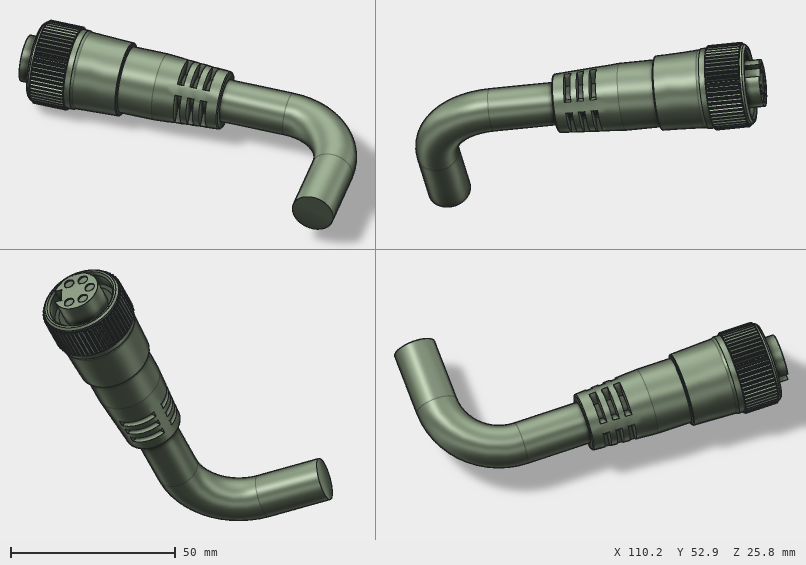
import cadquery as cq
import math

TOTAL_LENGTH = 110.2
TOTAL_WIDTH = 52.9

INSERT_RADIUS = 7.2
SHANK_RADIUS = 8.9
KEYWAY_WIDTH = 4.4
KEYWAY_FLOOR = 4.6
CONTACT_RADIUS = 1.5
CONTACT_CIRCLE_RADIUS = 4.5
CONTACT_ANGLES = (0, 60, 120, 240, 300)
CONTACT_DEPTH = 0.4

NUT_START = 3.7
NUT_END = 32.1
NUT_RADIUS = 12.2
NUT_NOSE_CHAMFER = 0.7
NUT_FACE_RADIUS = NUT_RADIUS - NUT_NOSE_CHAMFER
COLLAR_END = 17.6
TAPER_START = 18.5
TAPER_START_RADIUS = 11.9
TAPER_END_RADIUS = 11.4
NUT_END_CHAMFER = 0.28
MOUTH_RADIUS = 10.9
RECESS_RADIUS = 10.3
MOUTH_LENGTH = MOUTH_RADIUS - RECESS_RADIUS
RECESS_FLOOR = 8.6

KNURL_START = 5.1
KNURL_END = 15.8
KNURL_RADIUS = 12.9
KNURL_ROOT_RADIUS = 12.5
KNURL_END_CHAMFER = 0.3
TOOTH_COUNT = 55
CREST_SHARE = 0.2
ROOT_SHARE = 0.2

MOLD_START = 32.3
MOLD_RADIUS = 10.3
MOLD_TAPER_START = 43.1
MOLD_END = 63.6
MOLD_END_RADIUS = 8.9
MOLD_END_CHAMFER = 0.3
SLOT_START = 49.9
SLOT_WIDTH = 2.0
SLOT_PITCH = 2 * SLOT_WIDTH
SLOT_ROWS = 3
SLOT_SIDES = 4
SLOT_FLOOR_RADIUS = 5.5
RIB_WIDTH = 3.4

CABLE_RADIUS = 6.5
CABLE_DROP = TOTAL_WIDTH - KNURL_RADIUS
BEND_RADIUS = CABLE_DROP / 2
BEND_START = TOTAL_LENGTH - CABLE_RADIUS - BEND_RADIUS


def revolve_about_x(points):
    """Solid of revolution from (x, radius) points."""
    return cq.Workplane("XZ").polyline(points).close().revolve(360, (0, 0, 0), (1, 0, 0))


def cylinder(start, end, radius):
    """Cylinder on the X axis between two x positions."""
    return cq.Workplane("YZ").workplane(offset=start).circle(radius).extrude(end - start)


def knurl_outline():
    """Closed (y, z) outline of the toothed band, one trapezoid per tooth."""
    pitch = 2 * math.pi / TOOTH_COUNT
    corners = (
        (-(1 - ROOT_SHARE) / 2, KNURL_ROOT_RADIUS),
        (-CREST_SHARE / 2, KNURL_RADIUS),
        (CREST_SHARE / 2, KNURL_RADIUS),
        ((1 - ROOT_SHARE) / 2, KNURL_ROOT_RADIUS),
    )
    points = []
    for tooth in range(TOOTH_COUNT):
        for share, radius in corners:
            angle = (tooth + share) * pitch
            points.append((-radius * math.cos(angle), radius * math.sin(angle)))
    return points


def make_nut():
    """Tapered coupling nut with a knurled band, an open mouth and a bore for the shank."""
    outer = revolve_about_x([
        (NUT_START, 0),
        (NUT_START, NUT_FACE_RADIUS),
        (NUT_START + NUT_NOSE_CHAMFER, NUT_RADIUS),
        (COLLAR_END, NUT_RADIUS),
        (TAPER_START, TAPER_START_RADIUS),
        (NUT_END - NUT_END_CHAMFER, TAPER_END_RADIUS),
        (NUT_END, TAPER_END_RADIUS - NUT_END_CHAMFER),
        (NUT_END, 0),
    ])
    knurl = (
        cq.Workplane("YZ")
        .workplane(offset=KNURL_START)
        .polyline(knurl_outline())
        .close()
        .extrude(KNURL_END - KNURL_START)
    )
    band_limit = cylinder(KNURL_START, KNURL_END, KNURL_RADIUS).edges().chamfer(KNURL_END_CHAMFER)
    mouth = revolve_about_x([
        (NUT_START, 0),
        (NUT_START, MOUTH_RADIUS),
        (NUT_START + MOUTH_LENGTH, RECESS_RADIUS),
        (RECESS_FLOOR, RECESS_RADIUS),
        (RECESS_FLOOR, 0),
    ])
    bore = cylinder(NUT_START, NUT_END, SHANK_RADIUS)
    return outer.union(knurl.intersect(band_limit)).cut(mouth).cut(bore)


def make_insert():
    """Insert with keyway and shallow contact recesses, carried by the shank inside the nut."""
    insert = cylinder(0, RECESS_FLOOR, INSERT_RADIUS)
    keyway = cq.Workplane("XY").box(
        RECESS_FLOOR, INSERT_RADIUS, KEYWAY_WIDTH, centered=(False, False, True)
    ).translate((0, KEYWAY_FLOOR, 0))
    insert = insert.cut(keyway)
    for degrees in CONTACT_ANGLES:
        angle = math.radians(degrees)
        y = -CONTACT_CIRCLE_RADIUS * math.cos(angle)
        z = CONTACT_CIRCLE_RADIUS * math.sin(angle)
        recess = cq.Workplane("YZ").center(y, z).circle(CONTACT_RADIUS).extrude(CONTACT_DEPTH)
        insert = insert.cut(recess)
    return insert.union(cylinder(RECESS_FLOOR, MOLD_START, SHANK_RADIUS))


def make_slot():
    """One slot cutter on the +Z side: curved floor, sides parallel to the ribs at 45 degrees."""
    apex = RIB_WIDTH / math.sqrt(2)
    reach = 2 * MOLD_RADIUS
    wedge = (
        cq.Workplane("YZ")
        .workplane(offset=SLOT_START)
        .polyline([(0, apex), (reach, apex + reach), (-reach, apex + reach)])
        .close()
        .extrude(SLOT_WIDTH)
    )
    return wedge.cut(cylinder(SLOT_START, SLOT_START + SLOT_WIDTH, SLOT_FLOOR_RADIUS))


def make_strain_relief():
    """Tapered overmold with rows of slots on four sides."""
    mold = revolve_about_x([
        (MOLD_START, 0),
        (MOLD_START, MOLD_RADIUS),
        (MOLD_TAPER_START, MOLD_RADIUS),
        (MOLD_END - MOLD_END_CHAMFER, MOLD_END_RADIUS),
        (MOLD_END, MOLD_END_RADIUS - MOLD_END_CHAMFER),
        (MOLD_END, 0),
    ])
    slot = make_slot()
    for row in range(SLOT_ROWS):
        for side in range(SLOT_SIDES):
            turned = slot.rotate((0, 0, 0), (1, 0, 0), side * 360 / SLOT_SIDES)
            mold = mold.cut(turned.translate((row * SLOT_PITCH, 0, 0)))
    return mold


def make_cable():
    """Round cable: straight, quarter bend towards -Y, straight."""
    bend_mid = BEND_RADIUS * math.sin(math.radians(45))
    path = (
        cq.Workplane("XY")
        .moveTo(MOLD_END, 0)
        .lineTo(BEND_START, 0)
        .threePointArc(
            (BEND_START + bend_mid, bend_mid - BEND_RADIUS),
            (BEND_START + BEND_RADIUS, -BEND_RADIUS),
        )
        .lineTo(BEND_START + BEND_RADIUS, -CABLE_DROP)
    )
    return cq.Workplane("YZ").workplane(offset=MOLD_END).circle(CABLE_RADIUS).sweep(path)


coupling_nut = make_nut()
plug_with_cable = make_insert().union(make_strain_relief()).union(make_cable())

result = cq.Compound.makeCompound([coupling_nut.val(), plug_with_cable.val()])